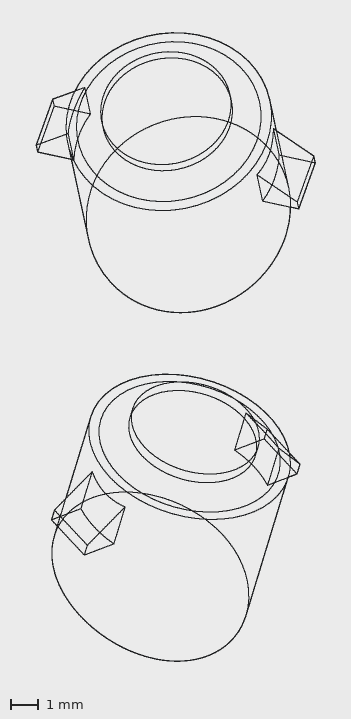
import cadquery as cq

LEAN_ANGLE = 20.0

BODY_DIAMETER = 7.5
BODY_RADIUS = BODY_DIAMETER / 2
BODY_STOCK_LENGTH = 8.0
RIM_WIDTH = 0.38
CONE_RADIUS = BODY_RADIUS - RIM_WIDTH
CONE_HEIGHT = 0.52
PAD_RADIUS = 2.38
PAD_HEIGHT = 0.44

BASE_OVERHANG = 0.25
BASE_HALF_LENGTH = BODY_RADIUS + BASE_OVERHANG
BASE_BACK_Z = -5.87
BASE_UPPER_POINT = (1.85, -6.57)
BASE_MIDDLE_POINT = (0, -6.94)
BASE_LOWER_POINT = (-1.85, -7.18)
BASE_FRONT_Z = -7.32
BASE_CROSS_RADIUS = 16.5
BASE_AXIS_Z = BASE_MIDDLE_POINT[1] + BASE_CROSS_RADIUS

LUG_SPAN = 10.0
LUG_TIP_X = LUG_SPAN / 2
LUG_ROOT_X = BODY_RADIUS - 0.5
LUG_WIDTH = 2.0
LUG_BOTTOM_Z = -2.56
LUG_TIP_HEIGHT = 0.5
LUG_TIP_Z = LUG_BOTTOM_Z + LUG_TIP_HEIGHT
LUG_ROOT_Z = LUG_TIP_Z + (LUG_TIP_X - LUG_ROOT_X)


def make_body():
    """Cylinder, conical shoulder and flat pad turned as one profile."""
    pad_top = CONE_HEIGHT + PAD_HEIGHT
    profile = [
        (0, -BODY_STOCK_LENGTH),
        (BODY_RADIUS, -BODY_STOCK_LENGTH),
        (BODY_RADIUS, 0),
        (CONE_RADIUS, 0),
        (PAD_RADIUS, CONE_HEIGHT),
        (PAD_RADIUS, pad_top),
        (0, pad_top),
    ]
    return cq.Workplane("XZ").polyline(profile).close().revolve(360, (0, 0), (0, 1))


def make_base_envelope():
    """Barrel around an axis parallel to Y, whose lower side is the curved base."""
    return (
        cq.Workplane("YZ")
        .moveTo(-BASE_HALF_LENGTH, BASE_AXIS_Z)
        .lineTo(-BASE_HALF_LENGTH, BASE_FRONT_Z)
        .spline(
            [
                BASE_LOWER_POINT,
                BASE_MIDDLE_POINT,
                BASE_UPPER_POINT,
                (BASE_HALF_LENGTH, BASE_BACK_Z),
            ],
            includeCurrent=True,
        )
        .lineTo(BASE_HALF_LENGTH, BASE_AXIS_Z)
        .close()
        .revolve(360, (0, BASE_AXIS_Z), (1, BASE_AXIS_Z))
    )


def make_lug(side):
    """Wedge on one side of the body; side is +1 for +X and -1 for -X."""
    outline = [
        (side * LUG_ROOT_X, LUG_BOTTOM_Z),
        (side * LUG_TIP_X, LUG_BOTTOM_Z),
        (side * LUG_TIP_X, LUG_TIP_Z),
        (side * LUG_ROOT_X, LUG_ROOT_Z),
    ]
    return cq.Workplane("XZ").polyline(outline).close().extrude(LUG_WIDTH / 2, both=True)


part = make_body().intersect(make_base_envelope())
for side in (-1, 1):
    part = part.union(make_lug(side))

result = part.rotate((0, 0, 0), (1, 0, 0), LEAN_ANGLE)